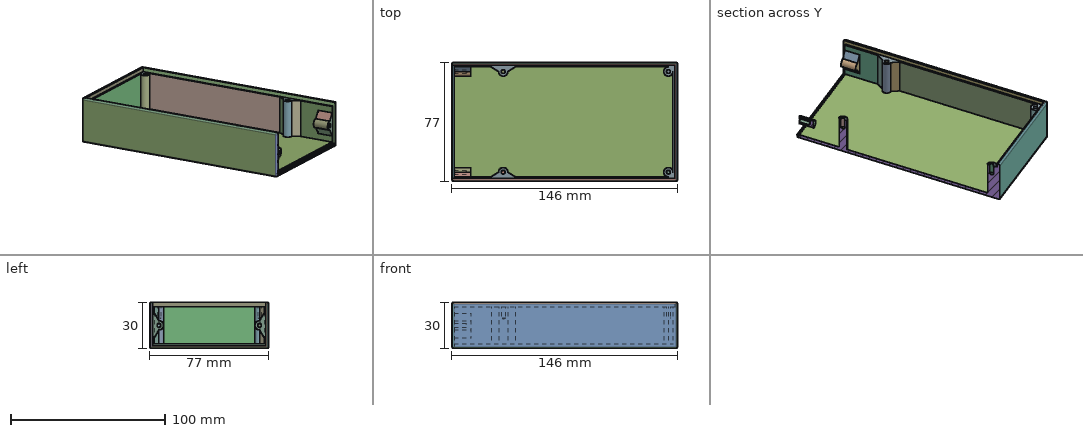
import cadquery as cq
import math

length, width, height = 146.0, 77.0, 30.0
wall = 2.9
edge_fillet = 1.0

rim_wall = 1.9
lid_seat_depth = 2.8
panel_seat_depth = 1.6

boss_diameter = 6.0
gusset_half_width = 7.9
side_boss_x = -39.9
end_boss_length = 10.5
screw_hole_diameter = 2.5
screw_hole_depth = 7.3
drill_point_angle = 118.0

boss_radius = boss_diameter / 2
floor_z = -height / 2 + wall
lid_seat_z = height / 2 - lid_seat_depth
panel_seat_x = -length / 2 + panel_seat_depth
inner_end_x = length / 2 - wall
inner_half_width = width / 2 - wall
boss_y = inner_half_width - boss_radius
corner_boss_x = inner_end_x - boss_radius
post_height = lid_seat_z - floor_z


def box_between(low, high):
    """Box spanning two opposite corners."""
    size = [b - a for a, b in zip(low, high)]
    return cq.Workplane("XY").box(*size, centered=False).translate(low)


def make_shell():
    """Rounded block hollowed out, with the rebate cut around both openings."""
    block = cq.Workplane("XY").box(length, width, height).edges().fillet(edge_fillet)
    cavity = box_between(
        (-length / 2, -inner_half_width, floor_z),
        (inner_end_x, inner_half_width, height / 2),
    )
    rim_half_width = width / 2 - rim_wall
    lid_seat = box_between(
        (-length / 2, -rim_half_width, lid_seat_z),
        (length / 2 - rim_wall, rim_half_width, height / 2),
    )
    panel_seat = box_between(
        (-length / 2, -rim_half_width, -height / 2 + rim_wall),
        (panel_seat_x, rim_half_width, height / 2),
    )
    return block.cut(cavity).cut(lid_seat).cut(panel_seat)


def gusseted_boss(plane, depth):
    """Boss on the local origin, flared to a wall that lies in local +Y."""
    return (
        cq.Workplane(plane)
        .moveTo(-gusset_half_width, boss_radius)
        .lineTo(-boss_radius, 0)
        .threePointArc((0, -boss_radius), (boss_radius, 0))
        .lineTo(gusset_half_width, boss_radius)
        .close()
        .extrude(-depth)
    )


def corner_boss(plane, depth):
    """Round post whose outer quarter fills the corner at local +X, +Y."""
    post = cq.Workplane(plane).circle(boss_radius).extrude(-depth)
    corner = cq.Workplane(plane).rect(boss_radius, boss_radius, centered=False).extrude(-depth)
    return post.union(corner)


def screw_hole(plane):
    """Blind hole with a conical drill point, entering along local -Z."""
    radius = screw_hole_diameter / 2
    tip_length = radius / math.tan(math.radians(drill_point_angle / 2))
    return (
        cq.Workplane(plane)
        .transformed(rotate=(90, 0, 0))
        .polyline([
            (0, 0),
            (radius, 0),
            (radius, -screw_hole_depth),
            (0, -screw_hole_depth - tip_length),
        ])
        .close()
        .revolve(360, (0, 0), (0, 1))
    )


side_plane = cq.Plane((side_boss_x, boss_y, lid_seat_z), xDir=(1, 0, 0), normal=(0, 0, 1))
corner_plane = cq.Plane((corner_boss_x, boss_y, lid_seat_z), xDir=(1, 0, 0), normal=(0, 0, 1))
end_plane = cq.Plane((panel_seat_x, boss_y, 0), xDir=(0, 0, 1), normal=(-1, 0, 0))

bosses = [
    gusseted_boss(side_plane, post_height),
    corner_boss(corner_plane, post_height),
    gusseted_boss(end_plane, end_boss_length),
]
holes = [screw_hole(plane) for plane in (side_plane, corner_plane, end_plane)]

result = make_shell()
for boss in bosses:
    result = result.union(boss).union(boss.mirror("XZ"))
for hole in holes:
    result = result.cut(hole).cut(hole.mirror("XZ"))